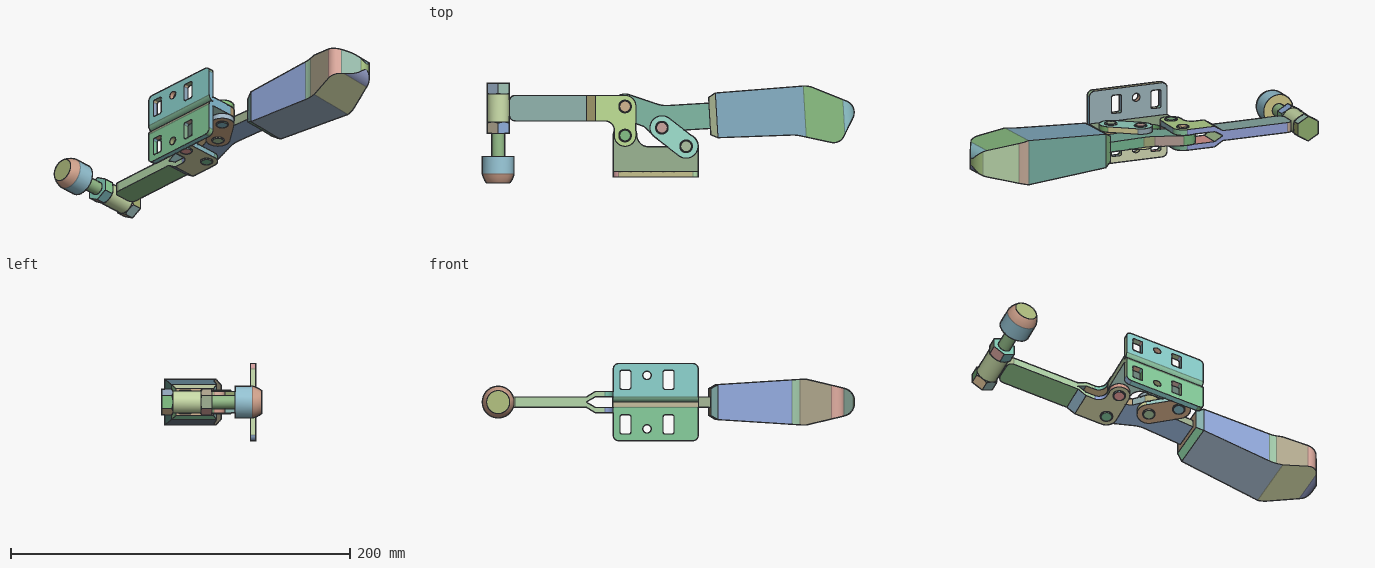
import cadquery as cq
import math


arm_base_pivot = (0.0, 0.0)
arm_lever_pivot = (0.0, 17.0)
lever_link_pivot = (21.7, 4.5)
base_link_pivot = (36.0, -6.4)

web_thickness = 6.1
plate_thickness = 3.3
web_face = web_thickness / 2
plate_face = web_face + plate_thickness

rivet_radius = 3.7
rivet_height = 0.7
rivet_chamfer = 0.55

base_left = -7.0
base_right = 43.1
base_bottom = -24.5
flange_half_height = 22.8
flange_corner_radius = 3.3
post_radius = -base_left
base_hub_radius = base_right - base_link_pivot[0]
notch_floor = -6.5
notch_radius = 6.8
slot_positions = (0.2, 25.6)
slot_width = 6.4
slot_length = 11.2
slot_height = 13.1
slot_corner_radius = 1.0
hole_position = sum(slot_positions) / 2
hole_height = 15.8
hole_diameter = 4.8

spindle_x = -74.7
spindle_top = 30.9
hex_across_flats = 13.1
hex_height = 6.5
hex_chamfer_angle = 30
sleeve_length = 16.5
sleeve_radius = hex_across_flats / 2
screw_radius = 4.0
foot_top = -12.3
foot_cylinder_length = 10.3
foot_bottom = -28.0
foot_radius = 9.5
foot_face_radius = 6.8
foot_bulge = 0.5

arm_width = 15.1
arm_top = 23.7
arm_bottom = arm_top - arm_width
arm_tip = spindle_x + sleeve_radius
arm_tip_radius = 3.5
arm_lug_radius = 6.4
arm_throat_radius = 5.5
fork_start = -22.8
fork_full = -17.5

link_radius = 7.0

handle_tilt = 3.4
lever_end = 50.4
tang_bottom = 1.0
tang_top = tang_bottom + arm_width
lever_hub_radius = 7.5
lever_elbow_radius = 6.8
hub_top_angle = 71
hub_bottom_angle = 248
elbow_angle = 225
lever_shoulder = (22.0, 17.5)
lever_shoulder_radius = 17.5
lever_crook = (11.2, 5.3)

grip_start = lever_end
grip_collar = 54.5
grip_crown = (109.3, 23.0)
grip_crown_radius = 13.1
grip_tip = (138.5, 9.2)
grip_tip_radius = 7.2
grip_heel = (126.0, -12.7)
grip_heel_radius = 6.5
grip_saddle = (100.5, -5.7)
grip_saddle_radius = 18.6
grip_face_bottom = -2.6
grip_face_top = 19.5
grip_collar_bottom = -4.5
grip_collar_top = 22.0
grip_ridge = 106.5
grip_shoulder = 129.2
grip_end = 135.8
grip_face_half = 7.9
grip_collar_half = 10.3
grip_ridge_half = 13.5
grip_shoulder_half = 8.0


def on_circle(center, radius, angle):
    """Point on a circle, with the angle in degrees from +X."""
    a = math.radians(angle)
    return (center[0] + radius * math.cos(a), center[1] + radius * math.sin(a))


def slab(outline_points, half_thickness):
    """Plate of the given XY outline, centred on Z = 0."""
    return cq.Workplane("XY").polyline(outline_points).close().extrude(half_thickness, both=True)


def disc(center, radius, half_thickness):
    return cq.Workplane("XY").center(*center).circle(radius).extrude(half_thickness, both=True)


def side_profile(outline_points, depth):
    """Solid of the given XZ outline, centred on Y = 0."""
    return cq.Workplane("XZ").polyline(outline_points).close().extrude(depth, both=True)


def round_corner(solid, corner, radius):
    """Round the edge parallel to Z that passes through an XY corner."""
    edge = solid.edges("|Z").edges(cq.selectors.NearestToPointSelector((corner[0], corner[1], 0)))
    return solid.newObject(edge.vals()).fillet(radius)


def rivet_head(center):
    """Chamfered rivet head standing on the upper plate face."""
    return (
        cq.Workplane("XY", origin=(center[0], center[1], plate_face))
        .circle(rivet_radius)
        .extrude(rivet_height)
        .faces(">Z")
        .chamfer(rivet_chamfer)
    )


def make_base():
    notch_left = arm_base_pivot[0] + post_radius
    notch_right = base_link_pivot[0] - base_hub_radius
    notch_top = notch_floor + notch_radius
    web = (
        cq.Workplane("XY")
        .moveTo(base_left, base_bottom)
        .lineTo(base_right, base_bottom)
        .lineTo(base_right, base_link_pivot[1])
        .threePointArc(
            on_circle(base_link_pivot, base_hub_radius, 90),
            (notch_right, base_link_pivot[1]),
        )
        .lineTo(notch_right, notch_floor)
        .lineTo(notch_left + notch_radius, notch_floor)
        .threePointArc(
            on_circle((notch_left + notch_radius, notch_top), notch_radius, 225),
            (notch_left, notch_top),
        )
        .lineTo(notch_left, arm_base_pivot[1])
        .threePointArc(on_circle(arm_base_pivot, post_radius, 90), (base_left, arm_base_pivot[1]))
        .close()
        .extrude(web_face, both=True)
    )

    base_length = base_right - base_left
    base_middle = (base_left + base_right) / 2
    flange = (
        cq.Workplane("XZ", origin=(0, base_bottom, 0))
        .center(base_middle, 0)
        .rect(base_length, 2 * flange_half_height)
        .extrude(-plate_thickness)
        .edges("|Y")
        .fillet(flange_corner_radius)
    )
    base = web.union(flange)

    bend_radius = web_face
    bend_y = base_bottom + bend_radius
    groove = (
        cq.Workplane("YZ", origin=(base_left, 0, 0))
        .moveTo(base_bottom, -bend_radius)
        .threePointArc(on_circle((bend_y, -bend_radius), bend_radius, 135), (bend_y, 0))
        .threePointArc(on_circle((bend_y, bend_radius), bend_radius, 225), (base_bottom, bend_radius))
        .close()
        .extrude(base_length)
    )
    base = base.cut(groove)

    slots = (
        cq.Workplane("XZ", origin=(0, base_bottom, 0))
        .pushPoints([(x, side * slot_height) for x in slot_positions for side in (-1, 1)])
        .rect(slot_width, slot_length)
        .extrude(-plate_thickness)
        .edges("|Y")
        .fillet(slot_corner_radius)
    )
    holes = (
        cq.Workplane("XZ", origin=(0, base_bottom, 0))
        .pushPoints([(hole_position, side * hole_height) for side in (-1, 1)])
        .circle(hole_diameter / 2)
        .extrude(-plate_thickness)
    )
    return base.cut(slots).cut(holes)


def make_arm():
    lug_left = arm_base_pivot[0] - arm_lug_radius
    lug_right = arm_base_pivot[0] + arm_lug_radius
    outline = slab(
        [
            (arm_tip, arm_bottom),
            (lug_left, arm_bottom),
            (lug_left, arm_base_pivot[1]),
            (lug_right, arm_base_pivot[1]),
            (lug_right, arm_top),
            (arm_tip, arm_top),
        ],
        plate_face,
    )
    outline = round_corner(outline, (lug_left, arm_bottom), arm_throat_radius)
    outline = round_corner(outline, (lug_right, arm_top), arm_lug_radius)
    for corner_y in (arm_bottom, arm_top):
        outline = round_corner(outline, (arm_tip, corner_y), arm_tip_radius)
    outline = outline.union(disc(arm_base_pivot, arm_lug_radius, plate_face))

    fork = side_profile(
        [
            (arm_tip, -web_face),
            (fork_start, -web_face),
            (fork_full, -plate_face),
            (lug_right, -plate_face),
            (lug_right, -web_face),
            (fork_full, -web_face),
            (fork_start, 0),
            (fork_full, web_face),
            (lug_right, web_face),
            (lug_right, plate_face),
            (fork_full, plate_face),
            (fork_start, web_face),
            (arm_tip, web_face),
        ],
        2 * arm_top,
    )
    arm = outline.intersect(fork)
    for pivot in (arm_base_pivot, arm_lever_pivot):
        head = rivet_head(pivot)
        arm = arm.union(head).union(head.mirror("XY"))
    return arm


def make_link(is_upper):
    """Link plate above or below the web and the lever, with a rivet head at each end."""
    span_x = base_link_pivot[0] - lever_link_pivot[0]
    span_y = base_link_pivot[1] - lever_link_pivot[1]
    middle = (lever_link_pivot[0] + span_x / 2, lever_link_pivot[1] + span_y / 2)
    link_length = math.hypot(span_x, span_y) + 2 * link_radius
    link_angle = math.degrees(math.atan2(span_y, span_x))
    link = (
        cq.Workplane("XY", origin=(middle[0], middle[1], web_face))
        .slot2D(link_length, 2 * link_radius, link_angle)
        .extrude(plate_thickness)
    )
    for pivot in (lever_link_pivot, base_link_pivot):
        link = link.union(rivet_head(pivot))
    return link if is_upper else link.mirror("XY")


def from_handle_axes(x, y):
    """XY position of a point given along and across the tilted handle."""
    a = math.radians(handle_tilt)
    return (x * math.cos(a) - y * math.sin(a), x * math.sin(a) + y * math.cos(a))


def make_lever():
    top_tangent = on_circle(arm_lever_pivot, lever_hub_radius, hub_top_angle)
    bottom_tangent = on_circle(arm_lever_pivot, lever_hub_radius, hub_bottom_angle)
    elbow_tangent = on_circle(lever_link_pivot, lever_elbow_radius, elbow_angle)
    lever = slab(
        [
            top_tangent,
            lever_shoulder,
            from_handle_axes(lever_end, tang_top),
            from_handle_axes(lever_end, tang_bottom),
            from_handle_axes(lever_link_pivot[0], tang_bottom),
            elbow_tangent,
            lever_crook,
            bottom_tangent,
        ],
        web_face,
    )
    lever = round_corner(lever, lever_shoulder, lever_shoulder_radius)
    hub = disc(arm_lever_pivot, lever_hub_radius, web_face)
    elbow = disc(lever_link_pivot, lever_elbow_radius, web_face)
    return lever.union(hub).union(elbow)


def make_grip():
    outline = slab(
        [
            (grip_start, grip_face_bottom),
            (grip_collar, grip_collar_bottom),
            grip_saddle,
            grip_heel,
            grip_tip,
            grip_crown,
            (grip_collar, grip_collar_top),
            (grip_start, grip_face_top),
        ],
        grip_ridge_half,
    )
    outline = round_corner(outline, grip_saddle, grip_saddle_radius)
    outline = round_corner(outline, grip_heel, grip_heel_radius)
    outline = round_corner(outline, grip_tip, grip_tip_radius)
    outline = round_corner(outline, grip_crown, grip_crown_radius)

    thickness = (
        cq.Workplane("XZ")
        .moveTo(grip_start, -grip_face_half)
        .lineTo(grip_collar, -grip_collar_half)
        .lineTo(grip_ridge, -grip_ridge_half)
        .lineTo(grip_shoulder, -grip_shoulder_half)
        .threePointArc((grip_end, 0), (grip_shoulder, grip_shoulder_half))
        .lineTo(grip_ridge, grip_ridge_half)
        .lineTo(grip_collar, grip_collar_half)
        .lineTo(grip_start, grip_face_half)
        .close()
        .extrude(2 * grip_crown[1], both=True)
    )
    grip = outline.intersect(thickness)
    return grip.rotate((0, 0, 0), (0, 0, 1), handle_tilt)


def revolve_about_spindle(half_section):
    """Solid of revolution from (radius, Y) points."""
    return (
        cq.Workplane("XY", origin=(spindle_x, 0, 0))
        .polyline(half_section)
        .close()
        .revolve(360, (0, 0, 0), (0, 1, 0))
    )


def make_hex(top, chamfer_up):
    """Hexagon along Y, with corners at its top and bottom and one end chamfered."""
    corner_radius = hex_across_flats / math.sqrt(3)
    prism = (
        cq.Workplane("XZ", origin=(spindle_x, top, 0))
        .polyline([on_circle((0, 0), corner_radius, 30 + 60 * i) for i in range(6)])
        .close()
        .extrude(hex_height)
    )
    rise = (corner_radius - sleeve_radius) * math.tan(math.radians(hex_chamfer_angle))
    bottom = top - hex_height
    if chamfer_up:
        plain_end, cone_base, cone_end = bottom, top - rise, top
    else:
        plain_end, cone_base, cone_end = top, bottom + rise, bottom
    envelope = revolve_about_spindle(
        [
            (0, plain_end),
            (corner_radius, plain_end),
            (corner_radius, cone_base),
            (sleeve_radius, cone_end),
            (0, cone_end),
        ]
    )
    return prism.intersect(envelope)


def make_spindle():
    sleeve_top = spindle_top - hex_height
    sleeve_bottom = sleeve_top - sleeve_length
    shaft = revolve_about_spindle(
        [
            (0, sleeve_top),
            (sleeve_radius, sleeve_top),
            (sleeve_radius, sleeve_bottom),
            (screw_radius, sleeve_bottom),
            (screw_radius, foot_top),
            (0, foot_top),
        ]
    )

    cone_top = foot_top - foot_cylinder_length
    bulge_point = (
        (foot_radius + foot_face_radius) / 2 + foot_bulge,
        (cone_top + foot_bottom) / 2,
    )
    foot = (
        cq.Workplane("XY", origin=(spindle_x, 0, 0))
        .moveTo(0, foot_top)
        .lineTo(foot_radius, foot_top)
        .lineTo(foot_radius, cone_top)
        .threePointArc(bulge_point, (foot_face_radius, foot_bottom))
        .lineTo(0, foot_bottom)
        .close()
        .revolve(360, (0, 0, 0), (0, 1, 0))
    )
    upper_hex = make_hex(spindle_top, chamfer_up=False)
    lower_hex = make_hex(sleeve_bottom, chamfer_up=True)
    return shaft.union(upper_hex).union(lower_hex).union(foot)


base = make_base()
arm = make_arm()
lever = make_lever()
grip = make_grip()
spindle = make_spindle()

links = [make_link(is_upper) for is_upper in (True, False)]

result = cq.Compound.makeCompound(
    [
        base.val(),
        arm.val(),
        *[link.val() for link in links],
        lever.val(),
        grip.val(),
        spindle.val(),
    ]
)